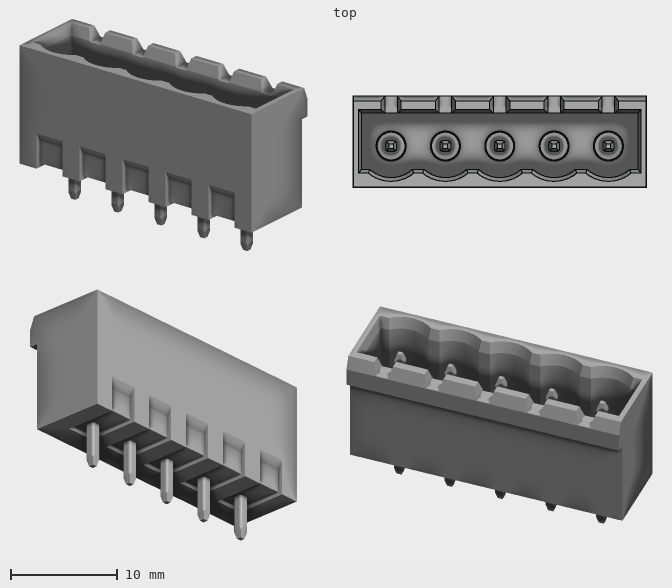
import cadquery as cq

pin_count = 5
pitch = 5.08
pin_y = 3.87
pin_xs = [(i - (pin_count - 1) / 2) * pitch for i in range(pin_count)]

length = 27.4
height = 12.0
body_depth = 7.7

lip_depth = 8.57
lip_height = 3.05
lip_bevel_depth = 0.5
lip_bevel_drop = 1.25

wall = 0.76
front_wall = 1.69
floor_z = 4.0
lead_in_drop = 1.12
lead_in_end = 0.25
lead_in_back = 0.34
lead_in_front = 0.35
scallop_radius = 2.95

boss_base_radius = 1.4
boss_top_radius = 1.3
boss_height = 0.5

notch_depth = 1.2
notch_floor_width = 1.16
notch_top_width = 1.9

window_width = 3.06
window_height = 3.57
window_depth = 0.5
window_slope_height = 0.85
relief_height = 0.4

pin_size = 1.0
pin_corner_radius = 0.25
pin_bottom_z = -3.9
pin_top_z = 10.28
tip_length = 0.95
top_tip_size = 0.42
bottom_tip_size = 0.5

cavity_length = length - 2 * wall
cavity_back = body_depth - wall
lead_in_z = height - lead_in_drop


def make_block():
    """Housing block with the bevelled latching lip on its back."""
    profile = [
        (0, 0),
        (body_depth, 0),
        (body_depth, height - lip_height),
        (lip_depth, height - lip_height),
        (lip_depth, height - lip_bevel_drop),
        (lip_depth - lip_bevel_depth, height),
        (0, height),
    ]
    return cq.Workplane("YZ").polyline(profile).close().extrude(length / 2, both=True)


def cavity_section(z, front, back, width):
    """Rectangular wire at height z, centred on X, from y = front to y = back."""
    section = cq.Workplane("XY", origin=(0, (front + back) / 2, z)).rect(width, back - front)
    return section.wires().val()


def make_cavity():
    """Open-topped cavity with a flared lead-in and a scalloped front."""
    floor = cavity_section(floor_z, front_wall, cavity_back, cavity_length)
    lead_in_foot = cavity_section(lead_in_z, front_wall, cavity_back, cavity_length)
    mouth = cavity_section(
        height, front_wall - lead_in_front, cavity_back + lead_in_back, cavity_length + 2 * lead_in_end
    )
    lower = cq.Workplane(cq.Solid.makeLoft([floor, lead_in_foot], True))
    lead_in = cq.Workplane(cq.Solid.makeLoft([lead_in_foot, mouth], True))
    cavity = lower.union(lead_in)
    for x in pin_xs:
        cavity = cavity.union(make_scallop(x))
    return cavity


def make_scallop(x):
    """Round clearance about one pin, flared at the top, kept in front of the pin axis."""
    up = cq.Vector(0, 0, 1)
    cylinder = cq.Solid.makeCylinder(scallop_radius, height - floor_z, cq.Vector(x, pin_y, floor_z), up)
    flare = cq.Solid.makeCone(
        scallop_radius, scallop_radius + lead_in_front, lead_in_drop, cq.Vector(x, pin_y, lead_in_z), up
    )
    front_zone = (
        cq.Workplane("XY", origin=(0, pin_y / 2, 0))
        .rect(cavity_length, pin_y)
        .extrude(height)
    )
    return front_zone.intersect(cq.Workplane(cylinder).union(cq.Workplane(flare)))


def make_boss(x):
    """Tapered round boss on the cavity floor."""
    return cq.Workplane(
        cq.Solid.makeCone(
            boss_base_radius, boss_top_radius, boss_height, cq.Vector(x, pin_y, floor_z), cq.Vector(0, 0, 1)
        )
    )


def make_notch(x):
    """Keying notch with flared sides, cut from the cavity out through the lip."""
    notch_z = height - notch_depth
    profile = [
        (x - notch_floor_width / 2, notch_z),
        (x + notch_floor_width / 2, notch_z),
        (x + notch_top_width / 2, height),
        (x - notch_top_width / 2, height),
    ]
    return (
        cq.Workplane("XZ", origin=(0, pin_y, 0))
        .polyline(profile)
        .close()
        .extrude(-(lip_depth - pin_y))
    )


def make_window(x):
    """Slope-topped window in the front face joined to the relief under the pin."""
    relief_depth = pin_y + window_width / 2
    profile = [
        (0, 0),
        (relief_depth, 0),
        (relief_depth, relief_height),
        (window_depth, relief_height),
        (window_depth, window_height - window_slope_height),
        (0, window_height),
    ]
    return (
        cq.Workplane("YZ", origin=(x, 0, 0))
        .polyline(profile)
        .close()
        .extrude(window_width / 2, both=True)
    )


def make_pin(x):
    """Square pin with rounded corners and a tapered tip at each end."""
    shank = (
        cq.Workplane("XY", origin=(x, pin_y, pin_bottom_z))
        .rect(pin_size, pin_size)
        .extrude(pin_top_z - pin_bottom_z)
        .edges("|Z")
        .fillet(pin_corner_radius)
    )
    envelope = (
        cq.Workplane("XY", origin=(x, pin_y, pin_bottom_z + tip_length))
        .rect(pin_size, pin_size)
        .extrude(pin_top_z - pin_bottom_z - 2 * tip_length)
    )
    tips = [(pin_top_z, top_tip_size, 1), (pin_bottom_z, bottom_tip_size, -1)]
    for tip_z, tip_size, direction in tips:
        tip = (
            cq.Workplane("XY", origin=(x, pin_y, tip_z - direction * tip_length))
            .rect(pin_size, pin_size)
            .workplane(offset=direction * tip_length)
            .rect(tip_size, tip_size)
            .loft(ruled=True)
        )
        envelope = envelope.union(tip)
    return shank.intersect(envelope)


pins = [make_pin(x) for x in pin_xs]

housing = make_block().cut(make_cavity())
for x, pin in zip(pin_xs, pins):
    housing = housing.union(make_boss(x)).cut(make_notch(x)).cut(make_window(x)).cut(pin)

result = cq.Compound.makeCompound([housing.val(), *[pin.val() for pin in pins]])